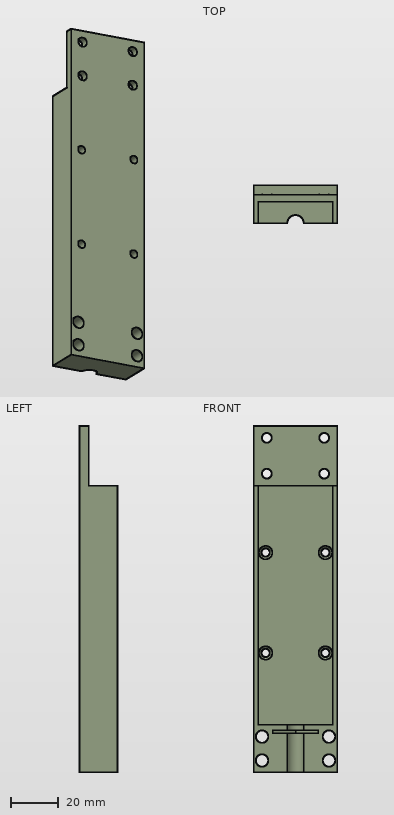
import cadquery as cq

WIDTH = 35.0
DEPTH = 16.0
HEIGHT = 145.0

TAB_HEIGHT = 25.0
TAB_THICKNESS = 4.0
TAB_HOLE_DIAMETER = 4.0
TAB_HOLE_SPACING_X = 24.0
TAB_HOLE_END_OFFSET = 5.0
TAB_HOLE_SPACING_Z = 15.0

SIDE_WALL = 2.0
FLOOR_THICKNESS = 7.0
BOTTOM_BLOCK_HEIGHT = 20.0

SCREW_HOLE_DIAMETER = 3.4
COUNTERSINK_DIAMETER = 5.6
COUNTERSINK_ANGLE = 90.0
SCREW_SPACING_X = 25.0
SCREW_HEIGHTS = (50.0, 92.0)

BLOCK_HOLE_DIAMETER = 5.1
BLOCK_HOLE_SPACING_X = 28.0
BLOCK_HOLE_HEIGHTS = (5.0, 15.0)

CHANNEL_DIAMETER = 6.8

SLOT_WIDTH = 19.0
SLOT_SIDE_DEPTH = 5.7
SLOT_CENTRE_DEPTH = 9.5
SLOT_THICKNESS = 1.3
SLOT_MID_HEIGHT = 17.0

SHOULDER_HEIGHT = HEIGHT - TAB_HEIGHT
TRAY_FLOOR_Y = DEPTH - FLOOR_THICKNESS
TAB_FACE_Y = DEPTH - TAB_THICKNESS
UPPER_TAB_HOLE_HEIGHT = HEIGHT - TAB_HOLE_END_OFFSET
TAB_HOLE_HEIGHTS = (UPPER_TAB_HOLE_HEIGHT - TAB_HOLE_SPACING_Z, UPPER_TAB_HOLE_HEIGHT)


def make_body():
    """Extrude the stepped side profile across the full width."""
    profile = [
        (0, 0),
        (DEPTH, 0),
        (DEPTH, HEIGHT),
        (TAB_FACE_Y, HEIGHT),
        (TAB_FACE_Y, SHOULDER_HEIGHT),
        (0, SHOULDER_HEIGHT),
    ]
    return cq.Workplane("YZ").polyline(profile).close().extrude(WIDTH / 2, both=True)


def make_tray_pocket():
    """Rectangular pocket between the side walls, from the bottom block up to the shoulder."""
    pocket_width = WIDTH - 2 * SIDE_WALL
    pocket_height = SHOULDER_HEIGHT - BOTTOM_BLOCK_HEIGHT
    pocket = cq.Workplane("XY").box(pocket_width, TRAY_FLOOR_Y, pocket_height, centered=(True, False, False))
    return pocket.translate((0, 0, BOTTOM_BLOCK_HEIGHT))


def hole_positions(face_y, spacing_x, heights):
    """Place mirrored pairs of points on the XZ plane at the given Y; its normal points to -Y."""
    points = [(side * spacing_x / 2, z) for side in (-1, 1) for z in heights]
    return cq.Workplane("XZ", origin=(0, face_y, 0)).pushPoints(points)


def drill(part, face_y, diameter, spacing_x, heights):
    """Drill mirrored pairs of plain holes from a face through to the back."""
    holes = hole_positions(face_y, spacing_x, heights).circle(diameter / 2).extrude(face_y - DEPTH)
    return part.cut(holes)


def make_channel():
    """Vertical cylinder on the centre line of the front face, as tall as the bottom block."""
    return cq.Workplane("XY").circle(CHANNEL_DIAMETER / 2).extrude(BOTTOM_BLOCK_HEIGHT)


def make_washer_slot():
    """Thin horizontal pentagon, deepest on the centre line."""
    half_width = SLOT_WIDTH / 2
    outline = [
        (-half_width, 0),
        (half_width, 0),
        (half_width, SLOT_SIDE_DEPTH),
        (0, SLOT_CENTRE_DEPTH),
        (-half_width, SLOT_SIDE_DEPTH),
    ]
    slot_bottom = SLOT_MID_HEIGHT - SLOT_THICKNESS / 2
    return cq.Workplane("XY", origin=(0, 0, slot_bottom)).polyline(outline).close().extrude(SLOT_THICKNESS)


def drill_countersunk(part):
    """Drill the countersunk screw holes through the tray floor."""
    part = drill(part, TRAY_FLOOR_Y, SCREW_HOLE_DIAMETER, SCREW_SPACING_X, SCREW_HEIGHTS)
    cone_depth = (COUNTERSINK_DIAMETER - SCREW_HOLE_DIAMETER) / 2
    cones = (
        hole_positions(TRAY_FLOOR_Y, SCREW_SPACING_X, SCREW_HEIGHTS)
        .circle(COUNTERSINK_DIAMETER / 2)
        .extrude(-cone_depth, taper=COUNTERSINK_ANGLE / 2)
    )
    return part.cut(cones)


body = make_body().cut(make_tray_pocket())
body = drill(body, TAB_FACE_Y, TAB_HOLE_DIAMETER, TAB_HOLE_SPACING_X, TAB_HOLE_HEIGHTS)
body = drill(body, 0, BLOCK_HOLE_DIAMETER, BLOCK_HOLE_SPACING_X, BLOCK_HOLE_HEIGHTS)
body = drill_countersunk(body)
body = body.cut(make_channel())
result = body.cut(make_washer_slot())